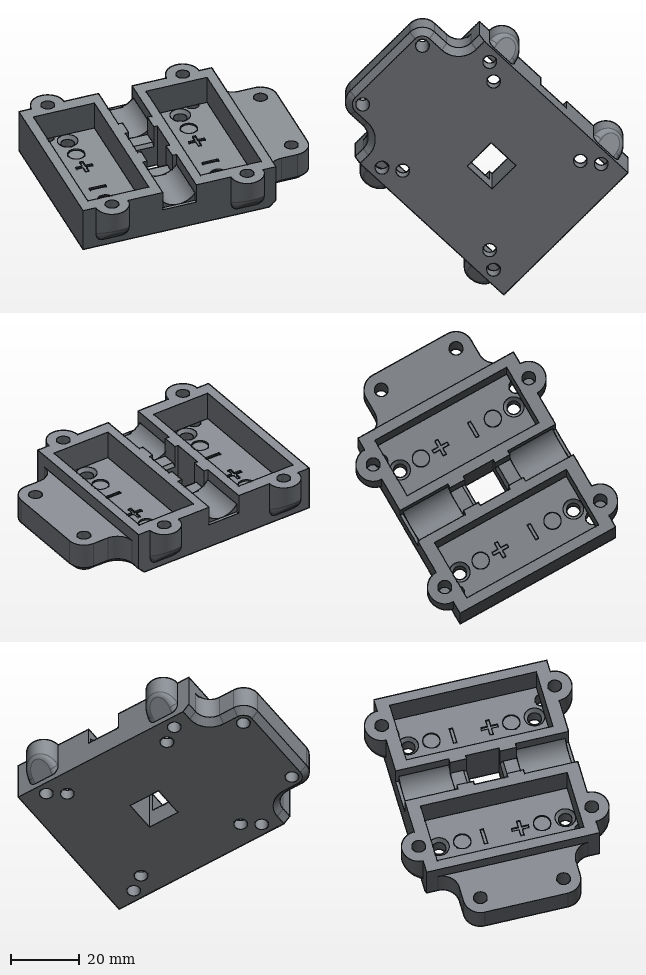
import cadquery as cq
import math

body_x = 52.0
body_y = 60.0
body_z = 14.0
back_y = body_y / 2

tab_width = 35.0
tab_length = 15.0
tab_z = 10.0
tab_radius = 5.0
edge_chamfer = 2.0

ear_radius = 5.0
ear_inset = 9.0
ear_y = body_y / 2 - ear_inset
ear_bottom_z = 2.0
ear_root = 1.5
ear_fillet = 2.0
screw_diameter = 4.0
ear_hole_depth = 9.0

wall_y = 3.0
pocket_x = 44.0
pocket_y = 19.0
floor_z = 5.0
pocket_center_y = body_y / 2 - wall_y - pocket_y / 2

countersink_x = 19.0
countersink_diameter = 6.0
countersink_depth = (countersink_diameter - screw_diameter) / 2
edge_hole_x = 22.5
edge_hole_inset = 7.5
edge_hole_y = body_y / 2 - edge_hole_inset
recess_depth = 0.5
disc_diameter = 5.0
disc_x = 12.0
sign_x = 5.5
sign_length = 5.0
sign_width = 1.0

channel_width = 10.4
channel_length = 16.0
channel_floor_z = 7.8
saddle_radius = 6.45
lip = 1.0
slot_width = 7.8
window_x = 10.0
window_y = 10.0
window_chamfer = 1.0

SIDES = (-1, 1)
margin = 0.1


def box(x_size, y_size, z_low, z_high, x=0.0, y=0.0):
    """Box centred on (x, y), spanning z_low to z_high."""
    return cq.Workplane("XY", origin=(x, y, z_low)).rect(x_size, y_size).extrude(z_high - z_low)


def cylinder(diameter, z_low, z_high, x, y):
    """Vertical cylinder on (x, y), spanning z_low to z_high."""
    return cq.Workplane("XY", origin=(x, y, z_low)).circle(diameter / 2).extrude(z_high - z_low)


def make_tab():
    """Tab with rounded outer corners and flared roots tangent to the back face."""
    half = tab_width / 2
    end_y = back_y + tab_length
    root_y = back_y - wall_y
    r = tab_radius
    mid = r * (1 - math.sqrt(0.5))
    return (
        cq.Workplane("XY")
        .moveTo(-half - r, root_y)
        .lineTo(-half - r, back_y)
        .threePointArc((-half - mid, back_y + mid), (-half, back_y + r))
        .lineTo(-half, end_y - r)
        .threePointArc((-half + mid, end_y - mid), (-half + r, end_y))
        .lineTo(half - r, end_y)
        .threePointArc((half - mid, end_y - mid), (half, end_y - r))
        .lineTo(half, back_y + r)
        .threePointArc((half + mid, back_y + mid), (half + r, back_y))
        .lineTo(half + r, root_y)
        .close()
        .extrude(tab_z)
    )


def make_ear(side, y):
    """Round ear with a 45 degree underside whose rim is rounded."""
    x = side * body_x / 2
    ear = cylinder(2 * ear_radius, 0, body_z, x, y)
    ear = ear.union(box(ear_root, 2 * ear_radius, 0, body_z, x - side * ear_root / 2, y))
    ear = ear.intersect(
        box(ear_radius + ear_root, 2 * ear_radius, 0, body_z, x + side * (ear_radius - ear_root) / 2, y)
    )
    reach = 2 * ear_radius
    wedge = (
        cq.Workplane("XZ", origin=(0, y + ear_radius, 0))
        .moveTo(x - side * reach, ear_bottom_z - reach)
        .lineTo(x + side * reach, ear_bottom_z + reach)
        .lineTo(x + side * reach, ear_bottom_z - reach)
        .close()
        .extrude(2 * ear_radius)
    )
    ear = ear.cut(wedge)
    underside = ear.faces(cq.selectors.DirectionMinMaxSelector(cq.Vector(side, 0, -1), True))
    rim = underside.edges(cq.selectors.BoxSelector(
        (x - side * (ear_root - margin), y - reach, 0), (x + side * reach, y + reach, body_z)))
    return rim.fillet(ear_fillet)


def cut_pocket(part, end):
    """Pocket with two countersunk holes, two edge holes and shallow floor marks."""
    y = end * pocket_center_y
    recess_z = floor_z - recess_depth
    part = part.cut(box(pocket_x, pocket_y, floor_z, body_z, 0, y))
    for side in SIDES:
        hole_x = side * countersink_x
        part = part.cut(cylinder(screw_diameter, 0, floor_z, hole_x, y))
        cone = cq.Solid.makeCone(
            screw_diameter / 2,
            countersink_diameter / 2,
            countersink_depth,
            pnt=cq.Vector(hole_x, y, floor_z - countersink_depth),
        )
        part = part.cut(cq.Workplane(cone))
        part = part.cut(cylinder(screw_diameter, 0, floor_z, side * edge_hole_x, end * edge_hole_y))
        part = part.cut(cylinder(disc_diameter, recess_z, floor_z, side * disc_x, y))
        part = part.cut(box(sign_width, sign_length, recess_z, floor_z, side * sign_x, y))
    return part.cut(box(sign_length, sign_width, recess_z, floor_z, -sign_x, y))


def cut_channel(part):
    """Channel along X: round saddles at the ends, narrow slot and window in the middle."""
    part = part.cut(box(body_x - 2 * channel_length, slot_width, channel_floor_z, body_z))
    saddle_length = channel_length - lip
    axis_z = channel_floor_z + saddle_radius
    for side in SIDES:
        outer_x = side * body_x / 2
        lip_x = outer_x - side * lip / 2
        saddle_x = outer_x - side * (lip + saddle_length / 2)
        part = part.cut(box(lip, channel_width, channel_floor_z, body_z, lip_x))
        saddle_space = box(saddle_length, channel_width, channel_floor_z, body_z, saddle_x)
        round_bottom = (
            cq.Workplane("YZ", origin=(saddle_x - saddle_length / 2, 0, 0))
            .center(0, axis_z)
            .circle(saddle_radius)
            .extrude(saddle_length)
        )
        part = part.cut(saddle_space.intersect(round_bottom))
    part = part.cut(box(window_x, window_y, 0, body_z))
    half = window_x / 2
    slope = (
        cq.Workplane("XZ", origin=(0, slot_width / 2, 0))
        .moveTo(-half - window_chamfer, channel_floor_z)
        .lineTo(half + window_chamfer, channel_floor_z)
        .lineTo(half, channel_floor_z - window_chamfer)
        .lineTo(-half, channel_floor_z - window_chamfer)
        .close()
        .extrude(slot_width)
    )
    return part.cut(slope)


part = box(body_x, body_y, 0, body_z).union(make_tab())
back_bottom_edges = part.faces("<Z").edges(
    cq.selectors.BoxSelector(
        (-body_x, back_y - margin, -margin), (body_x, back_y + tab_length + margin, margin)))
part = back_bottom_edges.chamfer(edge_chamfer)

for side in SIDES:
    for end in SIDES:
        part = part.union(make_ear(side, end * ear_y))

for end in SIDES:
    part = cut_pocket(part, end)

part = cut_channel(part)

for side in SIDES:
    for end in SIDES:
        part = part.cut(
            cylinder(screw_diameter, body_z - ear_hole_depth, body_z, side * body_x / 2, end * ear_y))
    tab_hole_x = side * (tab_width / 2 - tab_radius)
    tab_hole_y = back_y + tab_length - tab_radius
    part = part.cut(cylinder(screw_diameter, 0, tab_z, tab_hole_x, tab_hole_y))

result = part